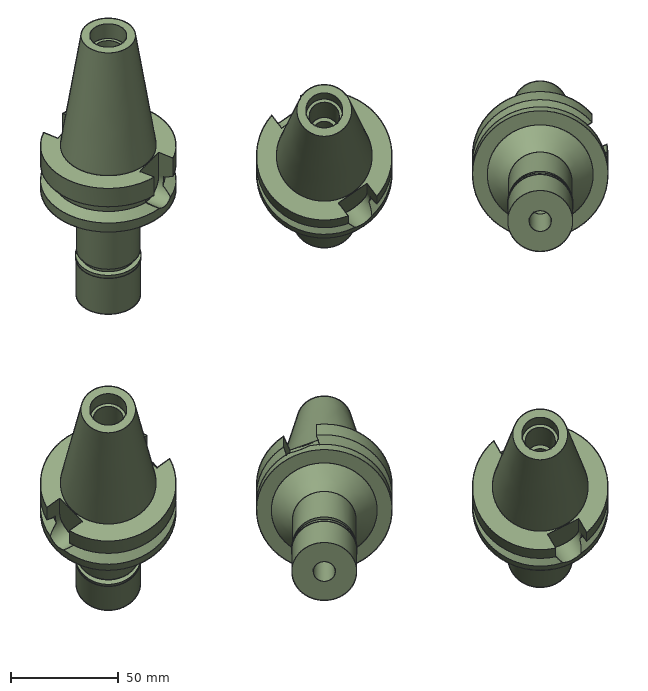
import cadquery as cq

total_length = 155.4
nut_height = 23.6
nut_collar_height = 1.9
neck_top = 26.9
shank_top = 53.1
flange_bottom = 63.1
groove_lower_edge = 68.5
groove_floor_bottom = 71.3
groove_floor_top = 75.5
groove_upper_edge = 78.3
flange_top = 89.4
gauge_plane = 90.0

flange_radius = 31.47
groove_radius = 26.4
cone_radius = 24.5
shank_radius = 14.8
neck_radius = 12.6
nut_radius = 15.0
nut_collar_radius = 15.2
gauge_radius = 22.2
taper_slope = 7 / 48
taper_top_radius = gauge_radius - taper_slope * (total_length - gauge_plane)

through_radius = 5.1
thread_radius = 7.0
thread_bottom = 124.3
mouth_radius = 8.5
mouth_depth = 8.9

slot_width = 16.3
slot_floor_distance = 22.5
slot_bottom = 67.0


def make_turned_body():
    profile = [
        (0, nut_height),
        (neck_radius, nut_height),
        (neck_radius, neck_top),
        (shank_radius, neck_top),
        (shank_radius, shank_top),
        (cone_radius, flange_bottom),
        (flange_radius, flange_bottom),
        (flange_radius, groove_lower_edge),
        (groove_radius, groove_floor_bottom),
        (groove_radius, groove_floor_top),
        (flange_radius, groove_upper_edge),
        (flange_radius, flange_top),
        (gauge_radius, flange_top),
        (gauge_radius, gauge_plane),
        (taper_top_radius, total_length),
        (0, total_length),
    ]
    return cq.Workplane("XZ").polyline(profile).close().revolve(360, (0, 0), (0, 1))


def make_cylinder(radius, bottom, top):
    return cq.Workplane("XY").workplane(offset=bottom).circle(radius).extrude(top - bottom)


def make_drive_slot(side):
    """Round-bottomed slot, open at the top and rim; side is +1 or -1 along X."""
    half_width = slot_width / 2
    arc_center = slot_bottom + half_width
    depth = flange_radius - slot_floor_distance
    outline = (
        cq.Workplane("YZ")
        .workplane(offset=side * slot_floor_distance)
        .moveTo(-half_width, flange_top)
        .lineTo(-half_width, arc_center)
        .threePointArc((0, slot_bottom), (half_width, arc_center))
        .lineTo(half_width, flange_top)
        .close()
    )
    return outline.extrude(side * depth)


def make_holder():
    holder = make_turned_body()
    for side in (-1, 1):
        holder = holder.cut(make_drive_slot(side))
    holder = holder.cut(make_cylinder(through_radius, nut_height, total_length))
    holder = holder.cut(make_cylinder(thread_radius, thread_bottom, total_length))
    return holder.cut(make_cylinder(mouth_radius, total_length - mouth_depth, total_length))


def make_nut():
    collar_bottom = nut_height - nut_collar_height
    nut = make_cylinder(nut_radius, 0, collar_bottom)
    nut = nut.union(make_cylinder(nut_collar_radius, collar_bottom, nut_height))
    return nut.cut(make_cylinder(through_radius, 0, nut_height))


holder = make_holder()
nut = make_nut()
result = cq.Compound.makeCompound([holder.val(), nut.val()])